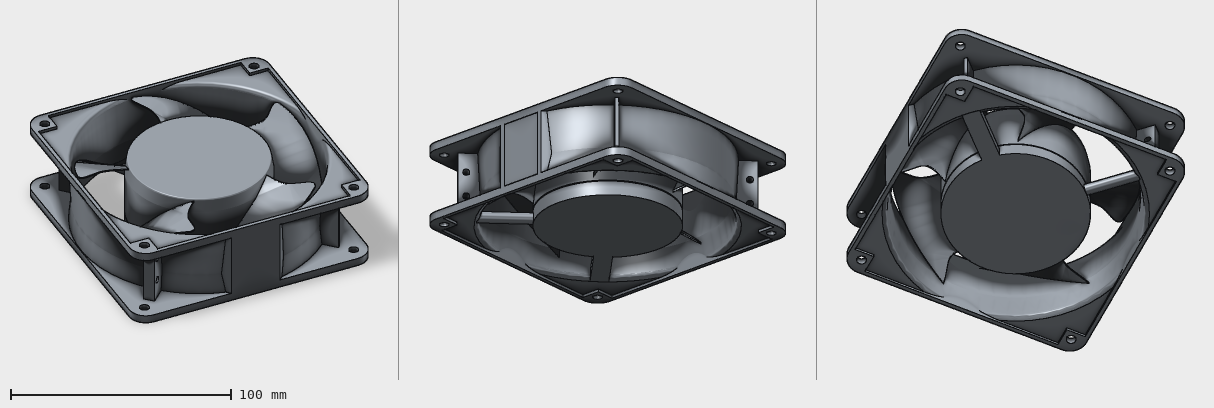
import cadquery as cq
import math

side = 119.0
height = 38.5
flange = 3.9
corner_radius = 8.3
mount_hole_offset = 52.5
mount_hole_diameter = 4.4
recess_half = 57.6
recess_depth = 1.4
corner_pad = 9.3

throat_height = 13.7
throat_radius = 56.5
neck_radius = 58.2
mouth_round = 2.4
barrel_throat_radius = 58.2
barrel_end_radius = 59.3
bow_share = 0.4

block_half_width = 12.1
block_depth = 4.8
label_half_width = 10.0
label_depth = 0.2
thick_plate = 5.4
thick_plate_reach = 68.1
thick_plate_angles = (135, 315)
thin_plate = 1.7
thin_plate_reach = 67.1
thin_plate_angles = (45, 225)
cross_hole_diameter = 3.1
cross_hole_inset = 3.7
cross_hole_spacing = 11.9
plate_inner = 57.7

hub_radius = 33.9
hub_bottom = 8.8
hub_step_height = 31.0
cap_radius = 32.8
hub_top = 37.6
cap_round = 1.0
blade_count = 5
first_blade_angle = 18.0
blade_root = 32.1
blade_tip = 56.3
blade_mid_height = 28.2
blade_pitch = 0.52
blade_camber = 0.007
blade_thickness = 0.6
blade_half_sweep = 28.0
curve_steps = 4
skin_margin = 1.2
leading_edge = [(blade_root, 25.0), (39.5, 21.8), (44.5, 22.0), (52.4, 25.8), (55.3, 26.2), (56.8, 24.5)]
trailing_edge = [(56.0, -25.5), (50.6, -23.0), (45.0, -20.1), (39.3, -20.8), (blade_root, -25.0)]

base_bottom = recess_depth
base_top = 8.3
strut_width = 8.6
strut_top = 6.0
strut_angle = 45.0
tube_diameter = 5.2
tube_height = 4.2
tube_angle = 135.0

barrel_top = height - flange
top_floor = height - recess_depth


def polar(radius, degrees, z=0.0):
    angle = math.radians(degrees)
    return cq.Vector(radius * math.cos(angle), radius * math.sin(angle), z)


def bow_point(low, high):
    """Middle of a slightly hollow curve from `low` to `high`."""
    return (low[0] + bow_share * (high[0] - low[0]), (low[1] + high[1]) / 2)


def revolve(profile):
    """Close a half profile against the Z axis and turn it into a solid."""
    return profile.close().revolve(360, (0, 0, 0), (0, 1, 0))


def square_block(half, bottom, top):
    return cq.Workplane("XY").workplane(offset=bottom).rect(2 * half, 2 * half).extrude(top - bottom)


def flange_plate(bottom):
    plate = square_block(side / 2, bottom, bottom + flange).edges("|Z").fillet(corner_radius)
    offset = 2 * mount_hole_offset
    holes = plate.faces(">Z").workplane(origin=(0, 0)).rect(offset, offset, forConstruction=True).vertices()
    return holes.hole(mount_hole_diameter)


def recess(bottom):
    """Square recess that leaves a raised pad round each mounting hole."""
    pads = (
        cq.Workplane("XY").workplane(offset=bottom)
        .rect(2 * recess_half, 2 * recess_half, forConstruction=True).vertices()
        .rect(2 * corner_pad, 2 * corner_pad).extrude(recess_depth)
    )
    return square_block(recess_half, bottom, bottom + recess_depth).cut(pads)


def barrel():
    low = (barrel_throat_radius, throat_height)
    high = (barrel_end_radius, barrel_top)
    return revolve(
        cq.Workplane("XZ").moveTo(0, flange).lineTo(barrel_end_radius, flange).lineTo(*low)
        .threePointArc(bow_point(low, high), high).lineTo(0, barrel_top)
    )


def bore():
    """Air passage with a rounded mouth at each end, cut off flat by the recess walls."""
    mouth_radius = neck_radius + mouth_round
    low_neck = recess_depth + mouth_round
    high_neck = top_floor - mouth_round
    bend = mouth_round * math.sqrt(0.5)
    low = (throat_radius, throat_height)
    high = (neck_radius, high_neck)
    passage = revolve(
        cq.Workplane("XZ").moveTo(0, recess_depth).lineTo(mouth_radius, recess_depth)
        .threePointArc((mouth_radius - bend, low_neck - bend), (neck_radius, low_neck))
        .lineTo(*low).threePointArc(bow_point(low, high), high)
        .threePointArc((mouth_radius - bend, high_neck + bend), (mouth_radius, top_floor))
        .lineTo(0, top_floor)
    )
    return passage.intersect(square_block(recess_half, recess_depth, top_floor))


def side_block():
    """Block on the +X side whose flanks spread at 45 degrees toward the barrel."""
    outer = side / 2
    inner = outer - block_depth
    inner_half_width = block_half_width + block_depth
    return (
        cq.Workplane("XY").workplane(offset=flange)
        .moveTo(outer, -block_half_width).lineTo(outer, block_half_width)
        .lineTo(inner, inner_half_width).lineTo(inner, -inner_half_width).close()
        .extrude(barrel_top - flange)
    )


def corner_plate(angle, thickness, reach):
    length = reach - plate_inner
    return (
        cq.Workplane("XY").box(length, thickness, barrel_top - flange, centered=(False, True, False))
        .translate((plate_inner, 0, flange)).rotate((0, 0, 0), (0, 0, 1), angle)
    )


def cross_holes(angle):
    x = thick_plate_reach - cross_hole_inset
    heights = [height / 2 + s * cross_hole_spacing / 2 for s in (-1, 1)]
    return (
        cq.Workplane("XZ").pushPoints([(x, z) for z in heights]).circle(cross_hole_diameter / 2)
        .extrude(thick_plate, both=True).rotate((0, 0, 0), (0, 0, 1), angle)
    )


def make_housing():
    body = barrel().union(flange_plate(0)).union(flange_plate(barrel_top))
    body = body.union(side_block()).union(side_block().mirror("YZ"))
    for angle in thin_plate_angles:
        body = body.union(corner_plate(angle, thin_plate, thin_plate_reach))
    for angle in thick_plate_angles:
        body = body.union(corner_plate(angle, thick_plate, thick_plate_reach)).cut(cross_holes(angle))
    label = (
        cq.Workplane("XY")
        .box(label_depth, 2 * label_half_width, barrel_top - flange, centered=(False, True, False))
        .translate((-side / 2, 0, flange))
    )
    opening = bore().union(recess(0)).union(recess(top_floor)).clean()
    return body.cut(label).cut(opening)


def make_hub():
    hub = revolve(
        cq.Workplane("XZ").moveTo(0, hub_bottom).lineTo(hub_radius, hub_bottom)
        .lineTo(hub_radius, hub_step_height).lineTo(cap_radius, hub_top).lineTo(0, hub_top)
    )
    return hub.faces(">Z").edges().fillet(cap_round)


def blade_curve(radius):
    """Lower edge line of the blade at one radius; its height depends only on the angle."""
    points = []
    for step in range(-curve_steps, curve_steps + 1):
        t = blade_half_sweep * step / curve_steps
        points.append(polar(radius, t, blade_mid_height + blade_pitch * t - blade_camber * t ** 2))
    return cq.Edge.makeSpline(points)


def make_blade():
    """Thin twisted sheet trimmed to the blade's outline, centred on the X axis."""
    inner_line = blade_curve(blade_root - skin_margin)
    outer_line = blade_curve(blade_tip + skin_margin)
    skin = cq.Face.makeRuledSurface(inner_line, outer_line)
    sheet = cq.Workplane(skin.thicken(blade_thickness))
    lead = [polar(*p).toTuple()[:2] for p in leading_edge]
    trail = [polar(*p).toTuple()[:2] for p in trailing_edge]
    outline = (
        cq.Workplane("XY").moveTo(*lead[0]).spline(lead[1:], includeCurrent=True)
        .threePointArc((blade_tip, 0), trail[0]).spline(trail[1:], includeCurrent=True)
        .threePointArc((blade_root, 0), lead[0]).close().extrude(height)
    )
    return sheet.intersect(outline)


def make_impeller():
    impeller = make_hub()
    blade = make_blade()
    for i in range(blade_count):
        angle = first_blade_angle + i * 360 / blade_count
        impeller = impeller.union(blade.rotate((0, 0, 0), (0, 0, 1), angle))
    return impeller


def make_motor_base():
    disc = cq.Workplane("XY").workplane(offset=base_bottom).circle(hub_radius).extrude(base_top - base_bottom)
    strut = (
        cq.Workplane("XY").box(side, strut_width, strut_top - base_bottom, centered=(False, True, False))
        .translate((0, 0, base_bottom)).rotate((0, 0, 0), (0, 0, 1), strut_angle)
    )
    return disc.union(strut.intersect(bore()))


def make_cable_tube(base):
    rod = (
        cq.Workplane("YZ").center(0, tube_height).circle(tube_diameter / 2).extrude(side / 2)
        .rotate((0, 0, 0), (0, 0, 1), tube_angle)
    )
    return rod.intersect(bore()).cut(base)


housing = make_housing()
impeller = make_impeller()
motor_base = make_motor_base()
cable_tube = make_cable_tube(motor_base)

result = cq.Compound.makeCompound(
    [body.solids().val() for body in (housing, impeller, motor_base, cable_tube)]
)